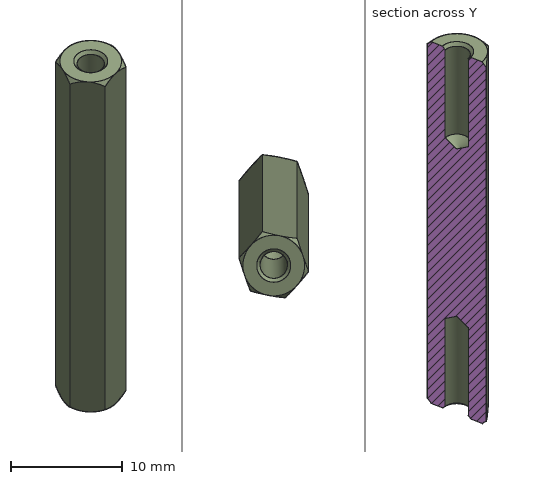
import cadquery as cq
import math

length = 40
across_flats = 5.5
across_corners = across_flats / math.cos(math.radians(30))

end_face_diameter = across_flats
chamfer_angle = 45
chamfer_width = (across_corners - end_face_diameter) / 2
chamfer_height = chamfer_width * math.tan(math.radians(chamfer_angle))

hole_diameter = 2.45
hole_depth = 10
drill_point_angle = 118
countersink_diameter = 3.05
countersink_depth = (countersink_diameter - hole_diameter) / 2


def hex_body():
    """Hexagonal bar with corners on the X axis and chamfered corners at both ends."""
    bar = cq.Workplane("XY").polygon(6, across_corners).extrude(length)
    envelope = (
        cq.Workplane("XY")
        .circle(across_corners / 2)
        .extrude(length)
        .faces("<Z or >Z")
        .chamfer(chamfer_height, chamfer_width)
    )
    return bar.intersect(envelope)


def top_hole():
    """Solid of the countersunk blind hole in the top end, with its drill point."""
    hole_radius = hole_diameter / 2
    point_height = hole_radius / math.tan(math.radians(drill_point_angle / 2))
    hole_floor = length - hole_depth
    return (
        cq.Workplane("XZ")
        .moveTo(0, length)
        .lineTo(countersink_diameter / 2, length)
        .lineTo(hole_radius, length - countersink_depth)
        .lineTo(hole_radius, hole_floor)
        .lineTo(0, hole_floor - point_height)
        .close()
        .revolve(360, (0, 0, 0), (0, 1, 0))
    )


upper_hole = top_hole()
lower_hole = upper_hole.mirror("XY", (0, 0, length / 2))
result = hex_body().cut(upper_hole).cut(lower_hole)